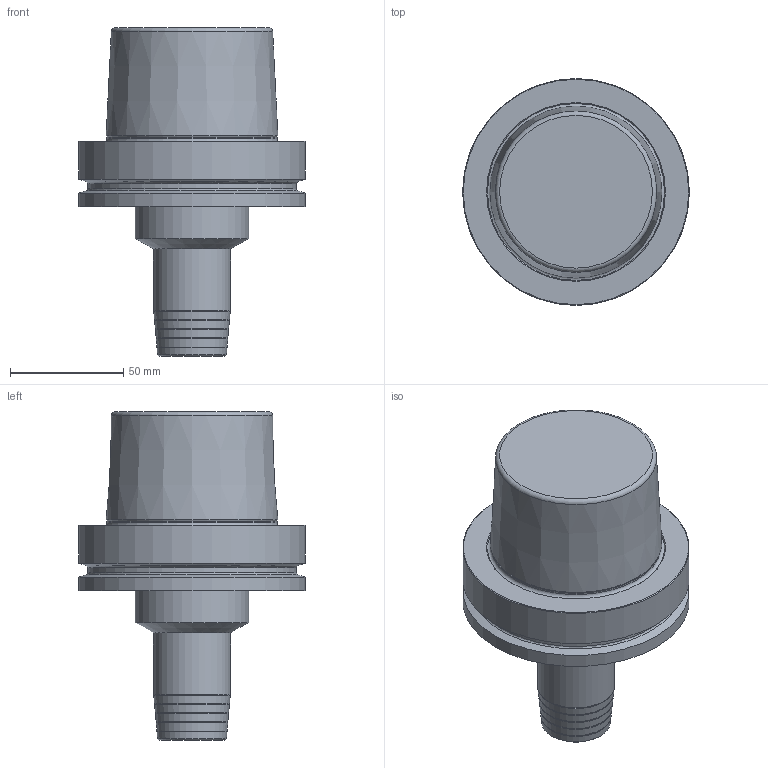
import cadquery as cq
import math

flange_radius = 50.0
flange_height = 29.0
flange_edge_chamfer = 0.3

groove_center_z = -19.9
groove_mouth_width = 6.3
groove_root_width = 3.5
groove_floor_radius = 46.0
groove_root_fillet = 0.9

taper_height = 50.0
taper_base_radius = 37.85
taper_base_z = 2.4
taper_slope = 1 / 20
taper_top_fillet = 1.9

neck_radius = 37.5
neck_top_z = 1.7
neck_blend_radius = 1.5
relief_depth = 0.5
relief_outer_radius = 39.4
relief_floor_radius = neck_radius + neck_blend_radius

nut_radius = 25.0
nut_bottom_z = -43.0
shank_radius = 17.0
shank_top_z = -47.5

nose_top_radius = 16.85
nose_top_z = -75.0
nose_bottom_z = -94.9
nose_half_angle = 5.0
nose_slope = math.tan(math.radians(nose_half_angle))
nose_chamfer = 0.6
ring_groove_count = 5
ring_groove_pitch = 4.0
ring_groove_width = 0.4
ring_groove_depth = 0.1

cutter_clearance = 1.0


def revolve_about_z(profile):
    """Close a profile of (radius, z) points and turn it once about the Z axis."""
    return profile.close().revolve(360, (0, 0, 0), (0, 1, 0))


def nose_radius(z):
    return nose_top_radius - (nose_top_z - z) * nose_slope


def make_flange():
    flange = cq.Workplane("XY").circle(flange_radius).extrude(-flange_height)
    flange = flange.faces(">Z").edges().chamfer(flange_edge_chamfer)
    return flange.cut(make_gripper_groove())


def make_gripper_groove():
    """Ring-shaped cutter with sloping sides and rounded root corners."""
    depth = flange_radius - groove_floor_radius
    half_mouth = groove_mouth_width / 2
    half_root = groove_root_width / 2
    flare = (half_mouth - half_root) * cutter_clearance / depth
    outer_radius = flange_radius + cutter_clearance
    half_outer = half_mouth + flare
    profile = cq.Workplane("XZ").polyline([
        (groove_floor_radius, groove_center_z - half_root),
        (groove_floor_radius, groove_center_z + half_root),
        (outer_radius, groove_center_z + half_outer),
        (outer_radius, groove_center_z - half_outer),
    ])
    cutter = revolve_about_z(profile)
    root_corners = cq.selectors.RadiusNthSelector(0)
    return cutter.edges("%CIRCLE").edges(root_corners).fillet(groove_root_fillet)


def make_face_relief():
    """Shallow dished cutter for the relief around the neck."""
    profile = cq.Workplane("XZ").polyline([
        (0, 0),
        (relief_outer_radius, 0),
        (relief_floor_radius, -relief_depth),
        (0, -relief_depth),
    ])
    return revolve_about_z(profile)


def make_taper():
    """Taper and neck, carried down through the flange as a solid core."""
    blend_top_z = neck_blend_radius - relief_depth
    blend_offset = neck_blend_radius * (1 - math.sqrt(0.5))
    taper_top_radius = taper_base_radius - (taper_height - taper_base_z) * taper_slope
    profile = (
        cq.Workplane("XZ")
        .moveTo(0, -flange_height)
        .lineTo(relief_floor_radius, -flange_height)
        .lineTo(relief_floor_radius, -relief_depth)
        .threePointArc(
            (neck_radius + blend_offset, blend_offset - relief_depth),
            (neck_radius, blend_top_z),
        )
        .lineTo(neck_radius, neck_top_z)
        .lineTo(taper_base_radius, taper_base_z)
        .lineTo(taper_top_radius, taper_height)
        .lineTo(0, taper_height)
    )
    return revolve_about_z(profile).faces(">Z").edges().fillet(taper_top_fillet)


def make_nut_and_shank():
    profile = cq.Workplane("XZ").polyline([
        (0, -flange_height),
        (nut_radius, -flange_height),
        (nut_radius, nut_bottom_z),
        (shank_radius, shank_top_z),
        (shank_radius, nose_top_z),
        (nose_top_radius, nose_top_z),
        (nose_radius(nose_bottom_z), nose_bottom_z),
        (0, nose_bottom_z),
    ])
    body = revolve_about_z(profile).faces("<Z").edges().chamfer(nose_chamfer)
    for index in range(ring_groove_count):
        body = body.cut(make_ring_groove(nose_top_z - index * ring_groove_pitch))
    return body


def make_ring_groove(center_z):
    return (
        cq.Workplane("XY", origin=(0, 0, center_z - ring_groove_width / 2))
        .circle(shank_radius + cutter_clearance)
        .circle(nose_radius(center_z) - ring_groove_depth)
        .extrude(ring_groove_width)
    )


result = make_flange().cut(make_face_relief()).union(make_taper()).union(make_nut_and_shank())